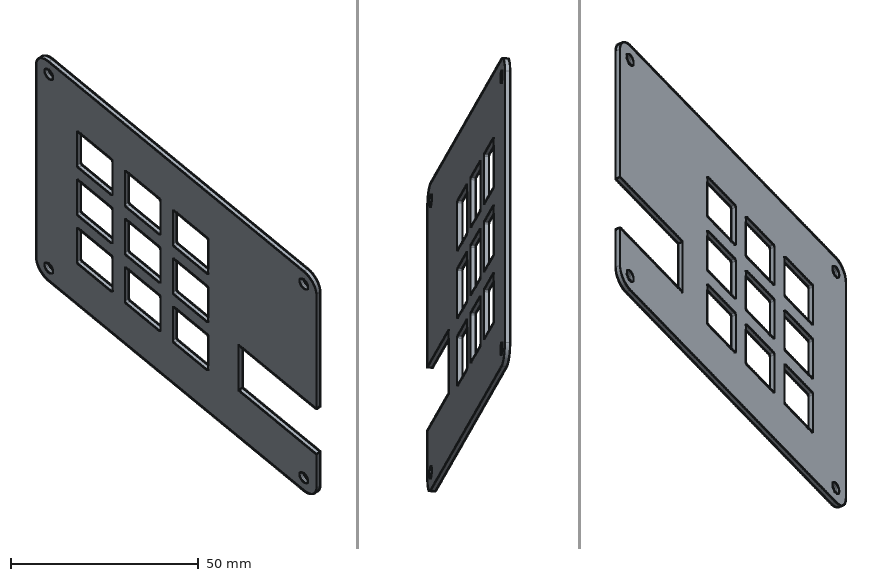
import cadquery as cq

plate_length = 111.5
plate_height = 86.6
plate_thickness = 1.5
corner_radius = 5.0

mount_hole_diameter = 3.3
mount_hole_inset = corner_radius

window_columns = 3
window_rows = 3
window_size = 14.0
window_pitch = 19.1
window_corner_radius = 0.5
grid_center_x = -13.4
grid_center_z = -1.0

notch_depth = 30.9
notch_height = 17.8
notch_center_z = -15.9


def make_plate():
    """Rounded rectangular plate centred on the origin."""
    plate = cq.Workplane("XY").box(plate_length, plate_thickness, plate_height)
    return plate.edges("|Y").fillet(corner_radius)


def make_mount_holes():
    """Four cylinders, one near each corner of the plate."""
    spacing_x = plate_length - 2 * mount_hole_inset
    spacing_z = plate_height - 2 * mount_hole_inset
    return (
        cq.Workplane("XZ")
        .rarray(spacing_x, spacing_z, 2, 2)
        .circle(mount_hole_diameter / 2)
        .extrude(plate_thickness, both=True)
    )


def make_windows():
    """Grid of square blocks with slightly rounded corners."""
    return (
        cq.Workplane("XZ")
        .center(grid_center_x, grid_center_z)
        .rarray(window_pitch, window_pitch, window_columns, window_rows)
        .rect(window_size, window_size)
        .extrude(plate_thickness, both=True)
        .edges("|Y")
        .fillet(window_corner_radius)
    )


def make_notch():
    """Sharp-cornered block reaching inward from the +X edge."""
    notch_center_x = (plate_length - notch_depth) / 2
    return (
        cq.Workplane("XZ")
        .center(notch_center_x, notch_center_z)
        .rect(notch_depth, notch_height)
        .extrude(plate_thickness, both=True)
    )


result = make_plate().cut(make_mount_holes()).cut(make_windows()).cut(make_notch())